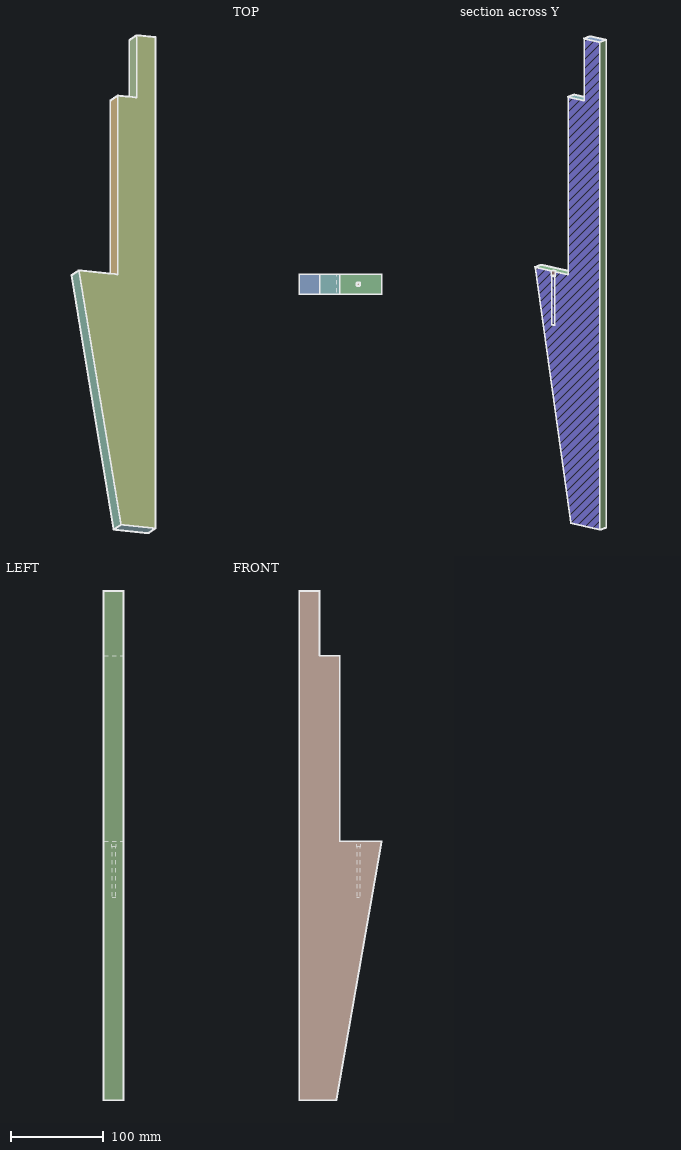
import cadquery as cq

height = 550.0
thickness = 22.0
tip_width = 22.0
shoulder_height = 480.0
neck_width = 44.0
ledge_height = 280.0
ledge_width = 89.0
foot_width = 40.0

hole_x = 64.0
recess_diameter = 4.6
recess_depth = 5.5
recess_floor = ledge_height - recess_depth

pin_diameter = 3.5
pin_length = 55.0


def make_rod(diameter, length, top):
    """Round vertical rod on the hole axis, reaching down from the height `top`."""
    return (
        cq.Workplane("XY", origin=(hole_x, 0, top))
        .circle(diameter / 2)
        .extrude(-length)
    )


def make_pin():
    """Plain round pin, ending flush with the floor of the recess."""
    return make_rod(pin_diameter, pin_length, recess_floor)


def make_post(pin):
    """Stepped post with a tapered lower part and a stepped hole for the pin."""
    outline = [
        (0, 0),
        (foot_width, 0),
        (ledge_width, ledge_height),
        (neck_width, ledge_height),
        (neck_width, shoulder_height),
        (tip_width, shoulder_height),
        (tip_width, height),
        (0, height),
    ]
    post = cq.Workplane("XZ").polyline(outline).close().extrude(thickness / 2, both=True)
    recess = make_rod(recess_diameter, recess_depth, ledge_height)
    return post.cut(recess).cut(pin)


pin = make_pin()
post = make_post(pin)

result = cq.Compound.makeCompound([post.val(), pin.val()])